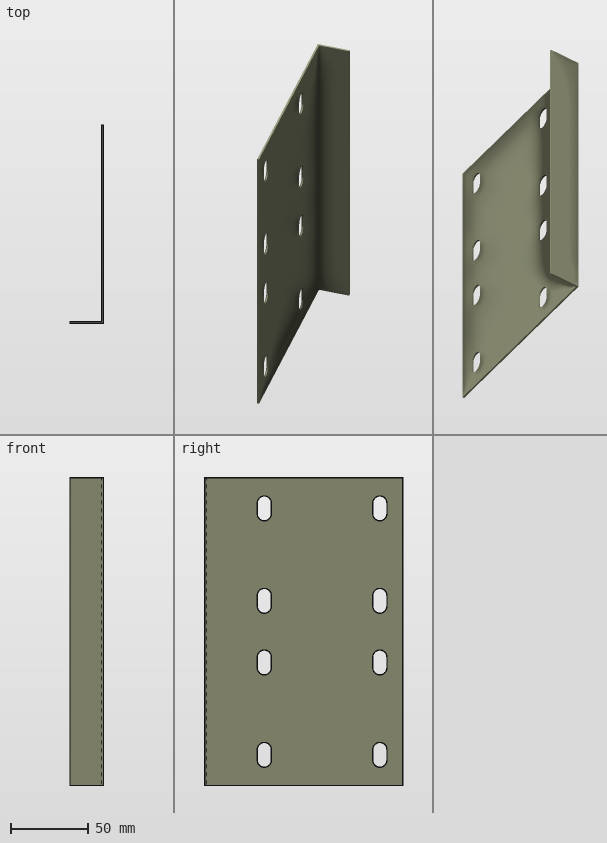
import cadquery as cq

height = 200.0
plate_width = 128.8
flange_width = 21.8
thickness = 1.2

slot_length = 16.0
slot_width = 9.0
slot_edge_distance = 15.0
slot_column_spacing = 75.0
slot_row_offsets = (20.0, 80.0)


def slot_positions():
    """Return the (Y, Z) centres of all slots."""
    outer_column = plate_width - slot_edge_distance
    columns = (outer_column, outer_column - slot_column_spacing)
    return [
        (y, height / 2 + side * offset)
        for y in columns
        for offset in slot_row_offsets
        for side in (-1, 1)
    ]


plate = cq.Workplane("XY").box(thickness, plate_width, height, centered=False)
plate = plate.translate((flange_width - thickness, 0, 0))
flange = cq.Workplane("XY").box(flange_width, thickness, height, centered=False)

slots = (
    cq.Workplane("YZ")
    .pushPoints(slot_positions())
    .slot2D(slot_length, slot_width, 90)
    .extrude(flange_width)
)

result = plate.cut(slots).union(flange)